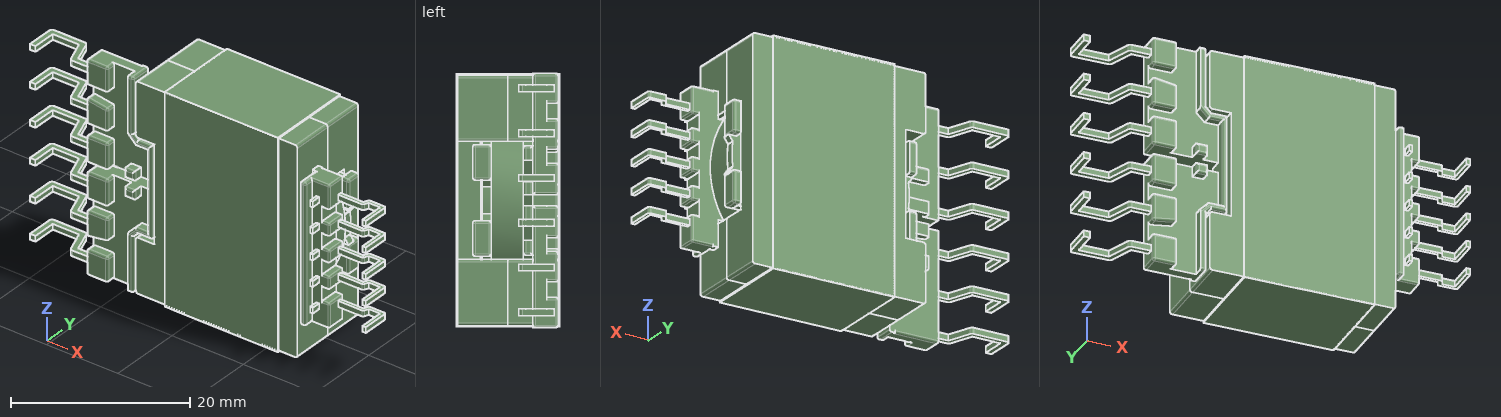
import cadquery as cq
import math


CORE_LEFT = -12.08
CORE_RIGHT = 10.55
CORE_DEPTH = 11.22
CORE_HEIGHT = 27.95
CORE_EDGE_RADIUS = 0.3
NOTCH_END = -9.5
WINDOW_HALF_HEIGHT = 6.58
WINDOW_HALF_DEPTH = 3.06
WINDOW_RADIUS = 11.75
LEG_RADIUS = 5.6
TAPE_LENGTH = 15.9
TAPE_THICKNESS = 0.15

COIL_RADIUS = 11.63
TUBE_RADIUS = 6.4
FLANGE_RADIUS = 11.6
COIL_FRONT = -1.73
COIL_REAR = 1.89
FRONT_FLANGE_FRONT = -2.79
REAR_FLANGE_REAR = 2.9
FLANGE_HALF_HEIGHT = 6.12
REAR_LIP_END = 12.03
REAR_LIP_THICKNESS = 1.0
REAR_LIP_REAR = 3.93
REAR_LIP_INNER_Z = 2.27
REAR_LIP_OUTER_Z = 6.24
WIRE_GUIDE_INNER_Z = 0.85

FRONT_Y = -CORE_DEPTH / 2
PLATE_FRONT = -4.33
BLOCK_LEFT = -19.03
BLOCK_HALF_HEIGHT = 14.2
SHOULDER_X = -12.5
TONGUE_X = -9.95
SHOULDER_CHAMFER = 0.63
RIDGE_WIDTH = 0.72
TONGUE_RIDGE_WIDTH = 0.58
SLOT_END = TONGUE_X - TONGUE_RIDGE_WIDTH
SLOT_HALF_HEIGHT = 0.62
FLANGE_TAB_LEFT = -17.09
EDGE_RADIUS = 0.27
RIDGE_INNER_RADIUS = 0.25
FOOT_LENGTH = 2.95
FOOT_TAPER = 0.45
FOOT_SPANS = ((SLOT_HALF_HEIGHT, 4.17), (5.7, 9.15), (10.83, BLOCK_HALF_HEIGHT))
TAPERED_FOOT = 1
HOOK_LEFT = -13.68
HOOK_LENGTH = 1.35
HOOK_HEIGHT = 1.25
WIRE_SLOT_BOTTOM = 2.1
WIRE_SLOT_TOP = 4.47

BAR_LEFT = 11.2
BAR_RIGHT = 14.04
BAR_HALF_HEIGHT = 9.43
BAR_EDGE_RADIUS = 0.2
LIP_LEFT = 10.92
LIP_WIDTH = 0.74
BAR_NOTCH_X = 13.05
BAR_NOTCH_HEIGHT = 1.8
PEG_LEFT = 12.26
PEG_LENGTH = 0.38
PEG_FRONT = -5.5

PIN_WIDTH = 0.77
PIN_EMBED = 0.5
PIN_END_Y = -5.18
INPUT_PITCH = 5.0
INPUT_COUNT = 6
INPUT_THICKNESS = 0.78
INPUT_TIP = -27.27
INPUT_SHANK_Y = -4.73
INPUT_BRIDGE_Y = -1.6
INPUT_BEND_LOW = -21.4
INPUT_BEND_HIGH = -22.55
OUTPUT_PITCH = 3.5
OUTPUT_COUNT = 5
OUTPUT_THICKNESS = 0.48
OUTPUT_TIP = 19.84
OUTPUT_SHANK_Y = -2.4
OUTPUT_BRIDGE_Y = -1.7
OUTPUT_BEND_LOW = 17.35
OUTPUT_BEND_HIGH = 17.65


def block(x0, x1, y0, y1, z0, z1):
    return cq.Workplane("XY").box(x1 - x0, y1 - y0, z1 - z0, centered=False).translate((x0, y0, z0))


def prism(points, y0, y1):
    """Extrude an (x, z) outline from y0 to y1."""
    return cq.Workplane("XZ", origin=(0, y1, 0)).polyline(points).close().extrude(y1 - y0)


def disc(radius, y0, y1):
    return cq.Workplane("XZ", origin=(0, y1, 0)).circle(radius).extrude(y1 - y0)


def row(count, pitch):
    return [(i - (count - 1) / 2) * pitch for i in range(count)]


def mirrored_z(shape):
    return shape.union(shape.mirror("XY"))


def make_core_half(side):
    """One half of the core; side is -1 for the front half and +1 for the rear half."""
    half = CORE_HEIGHT / 2
    depth = CORE_DEPTH / 2
    core = block(CORE_LEFT, CORE_RIGHT, 0, depth, -half, half)
    core = core.cut(block(CORE_LEFT, NOTCH_END, 0, depth, -WINDOW_HALF_HEIGHT, WINDOW_HALF_HEIGHT))
    core = core.edges("|Y and (<X or >X)").fillet(CORE_EDGE_RADIUS)
    window = disc(WINDOW_RADIUS, 0, WINDOW_HALF_DEPTH).union(
        block(CORE_LEFT, CORE_RIGHT, 0, WINDOW_HALF_DEPTH, -WINDOW_HALF_HEIGHT, WINDOW_HALF_HEIGHT)
    )
    core = core.cut(window).union(disc(LEG_RADIUS, 0, WINDOW_HALF_DEPTH))
    return core if side > 0 else core.mirror("XZ")


def make_tape():
    outer = cq.Workplane("XY").box(
        TAPE_LENGTH, CORE_DEPTH + 2 * TAPE_THICKNESS, CORE_HEIGHT + 2 * TAPE_THICKNESS
    )
    return outer.cut(cq.Workplane("XY").box(TAPE_LENGTH, CORE_DEPTH, CORE_HEIGHT))


def make_coil():
    coil = disc(COIL_RADIUS, COIL_FRONT, COIL_REAR).cut(disc(TUBE_RADIUS, COIL_FRONT, COIL_REAR))
    return coil.mirror("YZ")


def make_spool():
    """Tube with two flanges; rear lips with sloped wire guides stand at both open ends of the core."""
    spool = disc(TUBE_RADIUS, FRONT_FLANGE_FRONT, REAR_FLANGE_REAR)
    spool = spool.union(disc(FLANGE_RADIUS, FRONT_FLANGE_FRONT, COIL_FRONT))
    spool = spool.union(disc(FLANGE_RADIUS, COIL_REAR, REAR_FLANGE_REAR))
    lip_start = REAR_LIP_END - REAR_LIP_THICKNESS
    spool = spool.union(
        block(-lip_start, lip_start, COIL_REAR, REAR_FLANGE_REAR, -FLANGE_HALF_HEIGHT, FLANGE_HALF_HEIGHT)
    )
    lip = block(lip_start, REAR_LIP_END, COIL_REAR, REAR_LIP_REAR, REAR_LIP_INNER_Z, REAR_LIP_OUTER_Z)
    lip = lip.edges("not <X").fillet(EDGE_RADIUS)
    guide = prism(
        [(lip_start, WIRE_GUIDE_INNER_Z), (lip_start, REAR_LIP_INNER_Z), (REAR_LIP_END, REAR_LIP_INNER_Z)],
        COIL_REAR, REAR_FLANGE_REAR,
    )
    lip = lip.union(guide)
    lips = mirrored_z(lip)
    spool = spool.union(lips).union(lips.mirror("YZ"))
    return spool


def block_outline(inset=0, tongue_inset=0):
    """Upper half of the input block, its shouldered side set in and its tongue end set back."""
    bend_shift = inset * math.tan(math.pi / 8)
    shoulder_x = SHOULDER_X - inset
    tongue_z = FLANGE_HALF_HEIGHT - inset
    return [
        (BLOCK_LEFT, 0),
        (BLOCK_LEFT, BLOCK_HALF_HEIGHT),
        (shoulder_x, BLOCK_HALF_HEIGHT),
        (shoulder_x, FLANGE_HALF_HEIGHT + SHOULDER_CHAMFER - bend_shift),
        (SHOULDER_X + SHOULDER_CHAMFER - bend_shift, tongue_z),
        (TONGUE_X - tongue_inset, tongue_z),
        (TONGUE_X - tongue_inset, 0),
    ]


def make_plate():
    """Base plate of the input block, split along Z = 0 by a slot and rounded along its rear rim."""
    plate = mirrored_z(prism(block_outline(), PLATE_FRONT, FRONT_FLANGE_FRONT))
    plate = plate.cut(
        block(BLOCK_LEFT, SLOT_END, PLATE_FRONT, FRONT_FLANGE_FRONT, -SLOT_HALF_HEIGHT, SLOT_HALF_HEIGHT)
    )
    return plate.edges("(<X and (|Y or >Y)) or ((>Z or <Z) and (|Y or >Y))").fillet(EDGE_RADIUS)


def make_flange_tab():
    """Part of the front flange that reaches from the winding out over the base plate."""
    tab = block(
        FLANGE_TAB_LEFT, 0, FRONT_FLANGE_FRONT, COIL_FRONT, -FLANGE_HALF_HEIGHT, FLANGE_HALF_HEIGHT
    )
    return tab.edges("<X or (>Y and (<Z or >Z))").fillet(EDGE_RADIUS)


def is_inner_ridge_edge(edge):
    """True along the -X side of the ridge, whose corners are those of the inset outline."""
    inner = block_outline(RIDGE_WIDTH, TONGUE_RIDGE_WIDTH)[2:]
    corners = [(x, side * z) for x, z in inner for side in (-1, 1)]
    tolerance = EDGE_RADIUS / 10
    return all(
        any(math.dist(corner, (end.X, end.Z)) < tolerance for corner in corners) for end in edge.Vertices()
    )


def make_ridge():
    """Wall along the +X side of the input block, as tall as the core face."""
    whole = mirrored_z(prism(block_outline(), FRONT_Y, FRONT_FLANGE_FRONT))
    whole = whole.edges("(<Y or (|Y and (>Z or <Z))) and (not <X)").fillet(EDGE_RADIUS)
    inside = prism(block_outline(RIDGE_WIDTH, TONGUE_RIDGE_WIDTH), FRONT_Y, FRONT_FLANGE_FRONT)
    ridge = whole.cut(mirrored_z(inside))
    return ridge.faces("<Y").edges("not (<Z or >Z)").filter(is_inner_ridge_edge).fillet(RIDGE_INNER_RADIUS)


def make_foot(bottom, top, taper):
    right = BLOCK_LEFT + FOOT_LENGTH
    outline = [(BLOCK_LEFT, bottom), (BLOCK_LEFT, top), (right, top - taper), (right, bottom)]
    return prism(outline, FRONT_Y, PLATE_FRONT).edges("not >Y").fillet(EDGE_RADIUS)


def make_hook():
    hook = block(
        HOOK_LEFT, HOOK_LEFT + HOOK_LENGTH, FRONT_Y, PLATE_FRONT,
        SLOT_HALF_HEIGHT, SLOT_HALF_HEIGHT + HOOK_HEIGHT,
    )
    return hook.faces("<Y").edges().fillet(EDGE_RADIUS)


def make_wire_slot(bottom, top, left, right):
    """Slot through the front flange whose end slopes towards +X at the winding."""
    depth = COIL_FRONT - FRONT_FLANGE_FRONT
    return (
        cq.Workplane("XY", origin=(0, 0, bottom))
        .polyline([(left, COIL_FRONT), (right + depth, COIL_FRONT), (right, FRONT_FLANGE_FRONT),
                   (left, FRONT_FLANGE_FRONT)])
        .close()
        .extrude(top - bottom)
    )


def make_input_block():
    terminal = make_plate().union(make_flange_tab()).union(make_ridge())
    for index, (bottom, top) in enumerate(FOOT_SPANS):
        taper = FOOT_TAPER if index == TAPERED_FOOT else 0
        terminal = terminal.union(mirrored_z(make_foot(bottom, top, taper)))
    terminal = terminal.union(mirrored_z(make_hook()))
    return terminal


def make_wire_slots():
    """Centre slot and two wire slots through the -X edge of the front flange."""
    side_slot = make_wire_slot(WIRE_SLOT_BOTTOM, WIRE_SLOT_TOP, FLANGE_TAB_LEFT, SLOT_END)
    centre_slot = make_wire_slot(-SLOT_HALF_HEIGHT, SLOT_HALF_HEIGHT, FLANGE_TAB_LEFT, SLOT_END)
    return centre_slot.union(mirrored_z(side_slot))


def is_outside_notch(edge):
    return abs(edge.Center().x - BAR_NOTCH_X) > BAR_EDGE_RADIUS


def make_output_bar():
    bar = block(BAR_LEFT, BAR_RIGHT, PLATE_FRONT, COIL_FRONT, -BAR_HALF_HEIGHT, BAR_HALF_HEIGHT)
    for z in row(OUTPUT_COUNT - 1, OUTPUT_PITCH):
        bar = bar.cut(
            block(BAR_NOTCH_X, BAR_RIGHT, PLATE_FRONT, COIL_FRONT,
                  z - BAR_NOTCH_HEIGHT / 2, z + BAR_NOTCH_HEIGHT / 2)
        )
    bar = bar.edges("not <X").filter(is_outside_notch).fillet(BAR_EDGE_RADIUS)
    neck = block(0, BAR_LEFT, FRONT_FLANGE_FRONT, COIL_FRONT, -FLANGE_HALF_HEIGHT, FLANGE_HALF_HEIGHT)
    collar = block(CORE_RIGHT, BAR_LEFT, FRONT_FLANGE_FRONT, COIL_FRONT, -BAR_HALF_HEIGHT, BAR_HALF_HEIGHT)
    lip_right = LIP_LEFT + LIP_WIDTH
    lip = block(LIP_LEFT, lip_right, FRONT_Y, FRONT_FLANGE_FRONT, -BAR_HALF_HEIGHT, BAR_HALF_HEIGHT)
    lip = lip.edges("not >Y").fillet(EDGE_RADIUS)
    bar = bar.union(neck).union(collar).union(lip)
    for z in row(OUTPUT_COUNT, OUTPUT_PITCH):
        peg = block(
            PEG_LEFT, PEG_LEFT + PEG_LENGTH, PEG_FRONT, PLATE_FRONT, z - PIN_WIDTH / 2, z + PIN_WIDTH / 2
        )
        bar = bar.union(peg)
    return bar


def make_pin(path, thickness):
    """Bent flat wire around a centre path in the XY plane, cut square at its tip."""
    wire = cq.Workplane("XY").polyline(path).wire().val()
    strip = wire.offset2D(thickness / 2, "arc")[0]
    pin = cq.Workplane("XY").add(strip).toPending().extrude(PIN_WIDTH)
    pin = pin.translate((0, 0, -PIN_WIDTH / 2))
    tip_x = path[-1][0]
    waste = block(
        tip_x - thickness, tip_x + thickness, PIN_END_Y - 2 * thickness, PIN_END_Y, -PIN_WIDTH, PIN_WIDTH
    )
    return pin.cut(waste)


def make_input_pin():
    tip_x = INPUT_TIP + INPUT_THICKNESS / 2
    path = [
        (BLOCK_LEFT + PIN_EMBED, INPUT_SHANK_Y),
        (INPUT_BEND_LOW, INPUT_SHANK_Y),
        (INPUT_BEND_HIGH, INPUT_BRIDGE_Y),
        (tip_x, INPUT_BRIDGE_Y),
        (tip_x, PIN_END_Y),
    ]
    return make_pin(path, INPUT_THICKNESS)


def make_output_pin():
    tip_x = OUTPUT_TIP - OUTPUT_THICKNESS / 2
    path = [
        (BAR_RIGHT - PIN_EMBED, OUTPUT_SHANK_Y),
        (OUTPUT_BEND_LOW, OUTPUT_SHANK_Y),
        (OUTPUT_BEND_HIGH, OUTPUT_BRIDGE_Y),
        (tip_x, OUTPUT_BRIDGE_Y),
        (tip_x, PIN_END_Y),
    ]
    return make_pin(path, OUTPUT_THICKNESS)


def make_bobbin():
    """Spool, terminal blocks and moulded-in pins as one body."""
    bobbin = make_spool().union(make_input_block()).union(make_output_bar())
    bobbin = bobbin.cut(disc(LEG_RADIUS, FRONT_FLANGE_FRONT, REAR_FLANGE_REAR))
    bobbin = bobbin.cut(make_wire_slots())
    input_pin = make_input_pin()
    for z in row(INPUT_COUNT, INPUT_PITCH):
        bobbin = bobbin.union(input_pin.translate((0, 0, z)))
    output_pin = make_output_pin()
    for z in row(OUTPUT_COUNT, OUTPUT_PITCH):
        bobbin = bobbin.union(output_pin.translate((0, 0, z)))
    return bobbin


front_core = make_core_half(-1)
rear_core = make_core_half(1)
tape = make_tape()
coil = make_coil()
bobbin = make_bobbin()

bodies = [front_core, rear_core, tape, coil, bobbin]
result = cq.Compound.makeCompound([body.solids().val() for body in bodies])